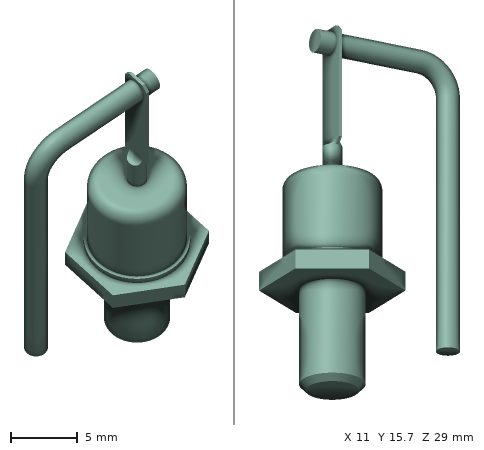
import cadquery as cq

stud_diameter = 5.0
stud_height = 8.0
stud_chamfer = 0.5
hex_across_corners = 11.0
hex_height = 1.5
rim_diameter = 8.0
rim_height = 0.5
can_diameter = 7.5
can_height = 7.0
can_fillet = 1.0

pin_diameter = 1.5
pin_height = 2.5
tab_width = 2.5
tab_thickness = 0.25
tab_corner = 0.5
total_height = 29.0

wire_diameter = 1.8
wire_bend_radius = 2.5
wire_vertical_y = -10.0
wire_axis_z = 27.75
wire_back_y = 1.5
wire_bottom_z = 5.0

hex_bottom = stud_height
rim_bottom = hex_bottom + hex_height
can_bottom = rim_bottom + rim_height
can_top = can_bottom + can_height
pin_top = can_top + pin_height


def make_cylinder(diameter, height, bottom):
    return cq.Workplane("XY").workplane(offset=bottom).circle(diameter / 2).extrude(height)


def make_tab():
    tab_height = total_height - pin_top
    return (
        cq.Workplane("XY")
        .workplane(offset=pin_top)
        .rect(tab_width, tab_thickness)
        .extrude(tab_height)
        .edges("|Y")
        .chamfer(tab_corner)
    )


def make_web():
    """Concave fillets that run from the pin's rim up both faces of the tab."""
    web_radius = (pin_diameter - tab_thickness) / 2
    web_top = pin_top + web_radius
    pin_radius = pin_diameter / 2
    block = cq.Workplane("XY").workplane(offset=pin_top).rect(pin_diameter, pin_diameter).extrude(web_radius)
    hollows = (
        cq.Workplane("YZ", origin=(-pin_radius, 0, 0))
        .pushPoints([(-pin_radius, web_top), (pin_radius, web_top)])
        .circle(web_radius)
        .extrude(pin_diameter)
    )
    return block.cut(hollows).intersect(make_cylinder(pin_diameter, web_radius, pin_top))


def make_wire():
    bend_start_y = wire_vertical_y + wire_bend_radius
    bend_end_z = wire_axis_z - wire_bend_radius
    path = (
        cq.Workplane("YZ")
        .moveTo(wire_back_y, wire_axis_z)
        .lineTo(bend_start_y, wire_axis_z)
        .tangentArcPoint((wire_vertical_y, bend_end_z), relative=False)
        .lineTo(wire_vertical_y, wire_bottom_z)
    )
    section = cq.Workplane("XZ", origin=(0, wire_back_y, wire_axis_z)).circle(wire_diameter / 2)
    return section.sweep(path)


def make_diode():
    stud = make_cylinder(stud_diameter, stud_height, 0).faces("<Z").chamfer(stud_chamfer)
    hexagon = (
        cq.Workplane("XY")
        .workplane(offset=hex_bottom)
        .polygon(6, hex_across_corners)
        .extrude(hex_height)
    )
    rim = make_cylinder(rim_diameter, rim_height, rim_bottom)
    can = make_cylinder(can_diameter, can_height, can_bottom).faces(">Z").edges().fillet(can_fillet)
    pin = make_cylinder(pin_diameter, pin_height, can_top)
    diode = stud.union(hexagon).union(rim).union(can).union(pin)
    return diode.union(make_tab()).union(make_web())


wire = make_wire()
diode = make_diode().cut(wire)

result = cq.Compound.makeCompound([diode.val(), wire.val()])